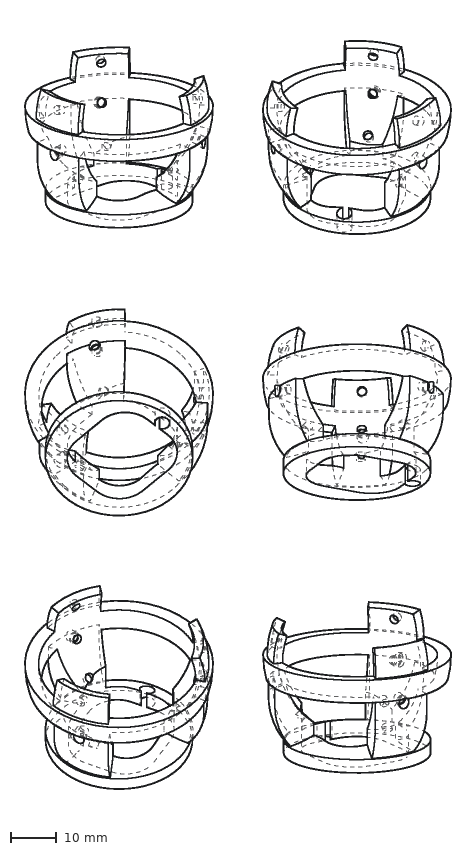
import cadquery as cq
import math

total_height = 28.9
leg_tip_angle = 20.0
leg_sphere_radius = 19.58
socket_radius = 17.5
centre_z = total_height - leg_sphere_radius * math.sin(math.radians(leg_tip_angle))

ring_sphere_radius = 20.5
ring_bottom_angle = 16.0
ring_edge_fillet = 0.7

base_radius = 16.0
base_rim_height = 3.05
dish_inner_radius = 10.0
dish_inner_height = 5.15
dish_mid_radius = 12.57
dish_mid_height = 4.0

opening_half_width = 10.0
opening_back_y = 12.0
opening_corner_radius = 6.95

back_hole_radius = 1.65
back_hole_y = 13.5

leg_count = 3
first_leg_angle = -90.0
leg_half_angle = 20.0
leg_cylinder_radius = 19.3
leg_curve_top_z = 12.7
leg_curve_radius = 14.4

pin_hole_radius = 1.0
pin_counterbore_radius = 1.23
upper_pin_angle = 12.0
pin_angle_step = 30.0
middle_pin_angle = upper_pin_angle - pin_angle_step
lower_pin_angle = middle_pin_angle - pin_angle_step
blind_pin_depth = 1.47
pin_step_distance = 18.9

clearance = 4.1


def ball(radius):
    return cq.Workplane("XY").sphere(radius).translate((0, 0, centre_z))


def make_base():
    return (
        cq.Workplane("XZ")
        .lineTo(base_radius, 0)
        .lineTo(base_radius, base_rim_height)
        .threePointArc((dish_mid_radius, dish_mid_height), (dish_inner_radius, dish_inner_height))
        .lineTo(0, dish_inner_height)
        .close()
        .revolve(360, (0, 0, 0), (0, 1, 0))
    )


def point_on_sphere(radius, elevation):
    angle = math.radians(elevation)
    return radius * math.cos(angle), centre_z + radius * math.sin(angle)


def make_ring():
    return (
        cq.Workplane("XZ")
        .moveTo(0, centre_z)
        .lineTo(*point_on_sphere(ring_sphere_radius, -ring_bottom_angle))
        .threePointArc(
            point_on_sphere(ring_sphere_radius, -ring_bottom_angle / 2),
            point_on_sphere(ring_sphere_radius, 0),
        )
        .close()
        .revolve(360, (0, 0, 0), (0, 1, 0))
        .edges("<Z")
        .fillet(ring_edge_fillet)
    )


def leg_curve_x(z):
    drop = leg_curve_top_z - z
    return leg_cylinder_radius - leg_curve_radius + math.sqrt(leg_curve_radius**2 - drop**2)


def make_leg_blank():
    foot_radius = leg_curve_x(base_rim_height)
    curve_mid_z = (base_rim_height + leg_curve_top_z) / 2
    cylinder_top_z = centre_z - math.sqrt(leg_sphere_radius**2 - leg_cylinder_radius**2)
    tip = point_on_sphere(leg_sphere_radius, leg_tip_angle)
    return (
        cq.Workplane("XZ")
        .lineTo(foot_radius, 0)
        .lineTo(foot_radius, base_rim_height)
        .threePointArc((leg_curve_x(curve_mid_z), curve_mid_z), (leg_cylinder_radius, leg_curve_top_z))
        .lineTo(leg_cylinder_radius, cylinder_top_z)
        .threePointArc(point_on_sphere(leg_sphere_radius, 0), tip)
        .lineTo(0, centre_z)
        .close()
        .revolve(360, (0, 0, 0), (0, 1, 0))
    )


def make_wedge():
    reach = leg_cylinder_radius + clearance
    half_width = reach * math.tan(math.radians(leg_half_angle))
    return (
        cq.Workplane("XY")
        .polyline([(0, 0), (reach, -half_width), (reach, half_width)])
        .close()
        .extrude(total_height)
    )


def pin_cutter(angle, radius, start, end):
    tilt = math.radians(angle)
    direction = cq.Vector(math.cos(tilt), 0, math.sin(tilt))
    origin = cq.Vector(0, 0, centre_z) + direction * start
    return cq.Workplane(cq.Solid.makeCylinder(radius, end - start, origin, direction))


def pin_cutters():
    inside = socket_radius - clearance
    outside = leg_sphere_radius + clearance
    blind_end = socket_radius + blind_pin_depth
    flat_distance = math.sqrt(leg_sphere_radius**2 - pin_counterbore_radius**2)
    return [
        pin_cutter(upper_pin_angle, pin_hole_radius, inside, blind_end),
        pin_cutter(upper_pin_angle, pin_counterbore_radius, flat_distance, outside),
        pin_cutter(middle_pin_angle, pin_hole_radius, inside, outside),
        pin_cutter(middle_pin_angle, pin_counterbore_radius, pin_step_distance, outside),
        pin_cutter(lower_pin_angle, pin_hole_radius, inside, blind_end),
    ]


def make_opening():
    depth = opening_back_y + opening_half_width
    middle_y = (opening_back_y - opening_half_width) / 2
    return (
        cq.Workplane("XY")
        .center(0, middle_y)
        .rect(2 * opening_half_width, depth)
        .extrude(total_height)
        .edges("|Z")
        .fillet(opening_corner_radius)
    )


def make_back_hole():
    return (
        cq.Workplane("XY")
        .center(0, back_hole_y)
        .circle(back_hole_radius)
        .extrude(dish_inner_height)
    )


def place_on_leg(shape, index):
    angle = first_leg_angle + index * 360 / leg_count
    return shape.rotate((0, 0, 0), (0, 0, 1), angle)


leg = make_leg_blank().intersect(make_wedge())
body = make_base().union(make_ring())
for i in range(leg_count):
    body = body.union(place_on_leg(leg, i))

body = body.cut(ball(socket_radius)).cut(make_opening()).cut(make_back_hole())
for i in range(leg_count):
    for cutter in pin_cutters():
        body = body.cut(place_on_leg(cutter, i))

result = body